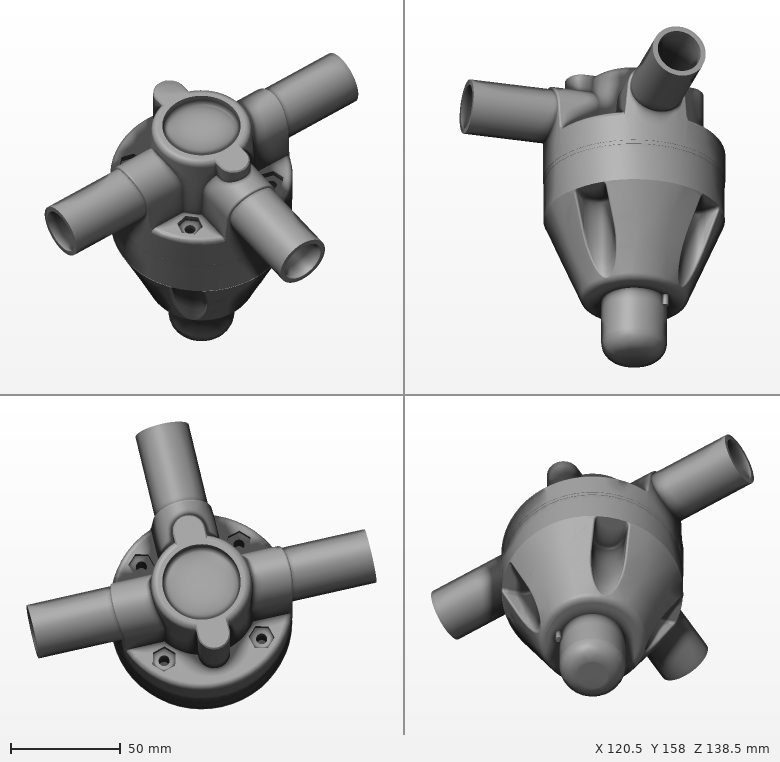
import cadquery as cq
import math

DRAFT = math.tan(math.radians(5))
TOP_Z = 20.0
COVER_TOP_Z = -12.5
COVER_BOTTOM_Z = -27.6
GASKET_BOTTOM_Z = -29.5
FLANGE_BOTTOM_Z = -47.7
CONE_BOTTOM_Z = -89.7
PIN_BOTTOM_Z = -118.5

COVER_RADIUS = 41.5
COVER_RIM_FILLET = 2.4
GASKET_RADIUS = 41.4
BODY_RADIUS = 41.2
CONE_TOP_RADIUS = 41.4
CONE_BOTTOM_RADIUS = 23.7
CONE_FILLET = 4.0
PIN_RADIUS = 15.0
PIN_FILLET = 7.9

PIPE_END = 79.0
PIPE_RADIUS = 12.5
BORE_RADIUS = 10.1
BRANCH_RADIUS = 13.6
BRANCH_EDGE_FILLET = 1.0
BRANCH_OVERLAP = 3.2
TRIM_ALLOWANCE = 1.6
PIPE_ANGLES = (0, 90, -90)

BARREL_BASE_RADIUS = 25.5
BARREL_FILLET = 3.0
RECESS_RADIUS = 17.9
RECESS_DEPTH = 5.0
RECESS_FILLET = 1.9

POST_OFFSET = 25.0
POST_RADIUS = 7.5
POST_CHAMFER = 0.6

BOLT_CIRCLE_RADIUS = 32.2
BOLT_ANGLES = (45, 135, 225, 315)
NUT_FLATS = 10.3
NUT_DEPTH = 3.0
BOLT_HOLE_RADIUS = 2.5
BOLT_HOLE_DEPTH = 11.0
GROOVE_RADIUS = 7.7
GROOVE_CEILING_FILLET = 1.5
GROOVE_EDGE_FILLET = 0.8

PEG_RADIUS = 1.5
PEG_OFFSET = 16.0
PEG_LENGTH = 5.0
PEG_ANGLE = 138


def disc(radius, z_bottom, z_top):
    return cq.Workplane("XY").workplane(offset=z_bottom).circle(radius).extrude(z_top - z_bottom)


def about_z(shape, angle):
    return shape.rotate((0, 0, 0), (0, 0, 1), angle)


def groove_cutter():
    """Vertical round-ended slot at the +X side, open outwards and downwards."""
    reach = BODY_RADIUS
    height = FLANGE_BOTTOM_Z - CONE_BOTTOM_Z
    cutter = (
        cq.Workplane("XY")
        .workplane(offset=CONE_BOTTOM_Z)
        .center(BOLT_CIRCLE_RADIUS + reach / 2, 0)
        .slot2D(reach + 2 * GROOVE_RADIUS, 2 * GROOVE_RADIUS)
        .extrude(height)
    )
    return cutter.faces(">Z").edges().fillet(GROOVE_CEILING_FILLET)


def cone():
    """Tapered lower body with a wrench groove under each fastener."""
    shape = (
        cq.Workplane("XZ")
        .moveTo(0, CONE_BOTTOM_Z)
        .lineTo(CONE_BOTTOM_RADIUS, CONE_BOTTOM_Z)
        .lineTo(CONE_TOP_RADIUS, FLANGE_BOTTOM_Z)
        .lineTo(0, FLANGE_BOTTOM_Z)
        .close()
        .revolve(360, (0, 0, 0), (0, 1, 0))
        .faces("<Z").edges().fillet(CONE_FILLET)
    )
    for angle in BOLT_ANGLES:
        shape = shape.cut(about_z(groove_cutter(), angle))
    groove_edges = shape.faces("%CONE").edges("%HYPERBOLA or %BSPLINE")
    return groove_edges.fillet(GROOVE_EDGE_FILLET)


def pin():
    """Round-nosed pin below the cone, with a short peg on its side."""
    post = disc(PIN_RADIUS, PIN_BOTTOM_Z, CONE_BOTTOM_Z).faces("<Z").edges().fillet(PIN_FILLET)
    peg = disc(PEG_RADIUS, CONE_BOTTOM_Z - PEG_LENGTH, CONE_BOTTOM_Z)
    return post.union(about_z(peg.translate((PEG_OFFSET, 0, 0)), PEG_ANGLE))


def barrel():
    top_radius = BARREL_BASE_RADIUS - DRAFT * (TOP_Z - COVER_TOP_Z)
    return (
        cq.Workplane("XZ")
        .moveTo(0, COVER_TOP_Z)
        .lineTo(BARREL_BASE_RADIUS, COVER_TOP_Z)
        .lineTo(top_radius, TOP_Z)
        .lineTo(0, TOP_Z)
        .close()
        .revolve(360, (0, 0, 0), (0, 1, 0))
        .faces(">Z").edges().fillet(BARREL_FILLET)
    )


def posts():
    """One round-ended wall through the barrel, forming a post on each side."""
    return (
        cq.Workplane("XY")
        .workplane(offset=COVER_TOP_Z)
        .slot2D(2 * (POST_OFFSET + POST_RADIUS), 2 * POST_RADIUS)
        .extrude(TOP_Z - COVER_TOP_Z)
        .faces(">Z").edges().chamfer(POST_CHAMFER)
    )


def recess():
    return (
        disc(RECESS_RADIUS, TOP_Z - RECESS_DEPTH, TOP_Z)
        .faces("<Z").edges().fillet(RECESS_FILLET)
    )


def branch_prism():
    """Arched block toward +X with drafted sides, running past the cover wall."""
    bottom_z = COVER_TOP_Z - BRANCH_OVERLAP
    tangent_y = BRANCH_RADIUS * math.cos(math.atan(DRAFT))
    tangent_z = BRANCH_RADIUS * math.sin(math.atan(DRAFT))
    base_y = tangent_y + DRAFT * (tangent_z - bottom_z)
    return (
        cq.Workplane("YZ")
        .moveTo(-base_y, bottom_z)
        .lineTo(-tangent_y, tangent_z)
        .threePointArc((0, BRANCH_RADIUS), (tangent_y, tangent_z))
        .lineTo(base_y, bottom_z)
        .close()
        .extrude(COVER_RADIUS + TRIM_ALLOWANCE)
    )


def rim_cutter():
    """Ring that rounds the free upper rim of the cover between the branches."""
    rounded = disc(COVER_RADIUS, COVER_BOTTOM_Z, COVER_TOP_Z).faces(">Z").edges().fillet(COVER_RIM_FILLET)
    return disc(COVER_RADIUS + TRIM_ALLOWANCE, COVER_TOP_Z - COVER_RIM_FILLET, COVER_TOP_Z).cut(rounded)


def on_branch_end(edge):
    """True for the arch edges where a branch meets the round cover wall."""
    center = edge.Center()
    above_cover = center.z > COVER_TOP_Z + BRANCH_EDGE_FILLET
    near_wall = math.hypot(center.x, center.y) > (COVER_RADIUS + BOLT_CIRCLE_RADIUS) / 2
    return above_cover and near_wall


def cover():
    """Cover disc with the pipe branches, all trimmed to one round wall."""
    shape = disc(COVER_RADIUS + TRIM_ALLOWANCE, COVER_BOTTOM_Z, COVER_TOP_Z)
    rim = rim_cutter()
    for angle in PIPE_ANGLES:
        prism = about_z(branch_prism(), angle)
        shape = shape.union(prism)
        rim = rim.cut(prism)
    wall = about_z(disc(COVER_RADIUS, COVER_BOTTOM_Z, TOP_Z), 180)
    shape = shape.intersect(wall)
    shape = shape.edges().filter(on_branch_end).fillet(BRANCH_EDGE_FILLET)
    return shape.cut(rim)


def pipe():
    return cq.Workplane("YZ").circle(PIPE_RADIUS).extrude(PIPE_END)


def bore():
    """Blind bore toward +X, running from the cover wall out to the pipe end."""
    length = PIPE_END - COVER_RADIUS
    return cq.Workplane("YZ").workplane(offset=COVER_RADIUS).circle(BORE_RADIUS).extrude(length)


def bolt_cutter():
    """Hexagonal nut pocket with a flat facing outwards and a blind hole below it."""
    floor_z = COVER_TOP_Z - NUT_DEPTH
    pocket = (
        cq.Workplane("XY")
        .workplane(offset=floor_z)
        .polygon(6, NUT_FLATS, circumscribed=True)
        .extrude(NUT_DEPTH)
    )
    hole = disc(BOLT_HOLE_RADIUS, floor_z - BOLT_HOLE_DEPTH, floor_z)
    return pocket.union(hole).translate((BOLT_CIRCLE_RADIUS, 0, 0))


result = (
    pin()
    .union(cone())
    .union(disc(BODY_RADIUS, FLANGE_BOTTOM_Z, GASKET_BOTTOM_Z))
    .union(disc(GASKET_RADIUS, GASKET_BOTTOM_Z, COVER_BOTTOM_Z))
    .union(cover())
    .union(barrel())
    .union(posts())
)

for angle in PIPE_ANGLES:
    result = result.union(about_z(pipe(), angle))

for angle in PIPE_ANGLES:
    result = result.cut(about_z(bore(), angle))

for angle in BOLT_ANGLES:
    result = result.cut(about_z(bolt_cutter(), angle))

result = result.cut(recess())